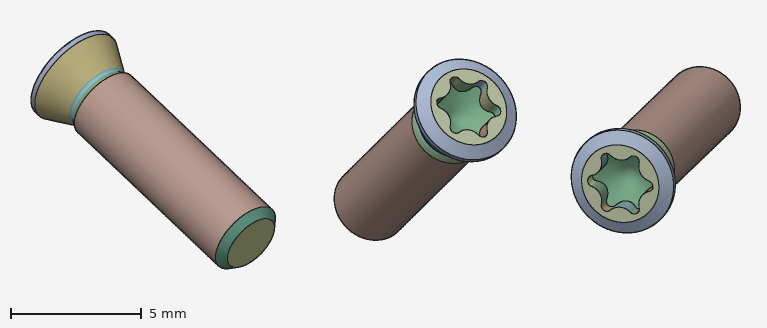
import cadquery as cq
import math

length = 11.0
head_radius = 2.06
face_radius = 1.55
shank_radius = 1.5
tip_radius = 1.18
tip_chamfer = 0.33

rim_start = 0.28
rim_end = 0.51
neck_start = 1.79
neck_middle = 1.9
neck_end = 1.99
shank_start = 2.2
neck_start_radius = 1.4
neck_radius = 1.35
neck_end_radius = 1.39

lobe_count = 6
lobe_reach = 1.31
waist_radius = 0.95
lobe_tip_radius = 0.22
recess_depth = 0.63
floor_point_angle = 118.0


def screw_body():
    """Revolve the half profile about X."""
    return (
        cq.Workplane("XY")
        .lineTo(0, face_radius)
        .lineTo(rim_start, head_radius)
        .lineTo(rim_end, head_radius)
        .lineTo(neck_start, neck_start_radius)
        .threePointArc((neck_middle, neck_radius), (neck_end, neck_end_radius))
        .lineTo(shank_start, shank_radius)
        .lineTo(length - tip_chamfer, shank_radius)
        .lineTo(length, tip_radius)
        .lineTo(length, 0)
        .close()
        .revolve(360, (0, 0, 0), (1, 0, 0))
    )


def polar(radius, angle):
    return (radius * math.cos(angle), radius * math.sin(angle))


def lobe_prism(depth):
    """Six-lobe prism made of tangent convex and concave arcs."""
    half_pitch = math.pi / lobe_count
    lobe_center = lobe_reach - lobe_tip_radius
    cosine = math.cos(half_pitch)
    center_to_waist_squared = lobe_center**2 + waist_radius**2 - 2 * lobe_center * waist_radius * cosine
    waist_arc_radius = (
        (center_to_waist_squared - lobe_tip_radius**2)
        / (2 * (lobe_tip_radius - waist_radius + lobe_center * cosine))
    )
    waist_x, waist_y = polar(waist_radius + waist_arc_radius, half_pitch)
    share = lobe_tip_radius / (lobe_tip_radius + waist_arc_radius)
    tangent_x = lobe_center + share * (waist_x - lobe_center)
    tangent_y = share * waist_y
    tangent_radius = math.hypot(tangent_x, tangent_y)
    tangent_angle = math.atan2(tangent_y, tangent_x)

    outline = cq.Workplane("YZ").moveTo(*polar(tangent_radius, -tangent_angle))
    for lobe in range(lobe_count):
        angle = 2 * half_pitch * lobe
        outline = outline.threePointArc(
            polar(lobe_reach, angle), polar(tangent_radius, angle + tangent_angle)
        )
        outline = outline.threePointArc(
            polar(waist_radius, angle + half_pitch),
            polar(tangent_radius, angle + 2 * half_pitch - tangent_angle),
        )
    return outline.close().extrude(depth)


def drive_recess():
    """Lobed socket whose floor is a shallow cone."""
    point_depth = recess_depth + lobe_reach / math.tan(math.radians(floor_point_angle / 2))
    pointed_plug = (
        cq.Workplane("XY")
        .lineTo(0, lobe_reach)
        .lineTo(recess_depth, lobe_reach)
        .lineTo(point_depth, 0)
        .close()
        .revolve(360, (0, 0, 0), (1, 0, 0))
    )
    return lobe_prism(point_depth).intersect(pointed_plug)


result = screw_body().cut(drive_recess())